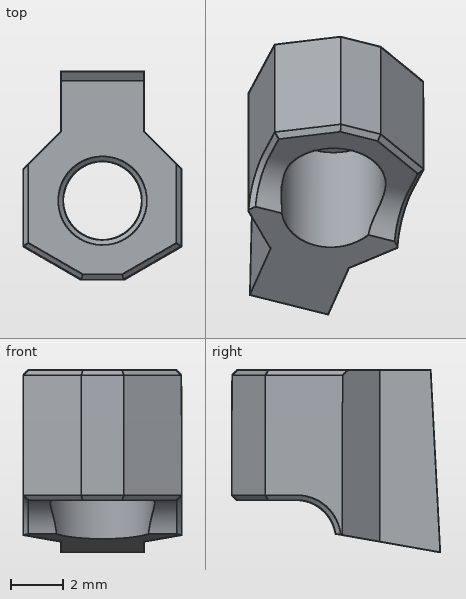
import cadquery as cq
import math

flat_distance = 3.04
shoulder_distance = 3.0
tongue_half_width = 1.6
tongue_tip_y = 4.96
height = 7.0
underside_depth = 5.0
tip_draft = 3.0
floor_slope = 10.0
hollow_radius = 1.5
hollow_center_y = -0.55
edge_chamfer = 0.2
bore_radius = 1.5
bore_depth = 1.5
counterbore_radius = 2.0
relief_depth = 2.0
relief_angle = 0.5
margin = 1.0

front_turn = 30.0
side_turn = 60.0
relieved_flats = (-120.0, -90.0, -60.0, 0.0)


def tangent(angle):
    return math.tan(math.radians(angle))


def corner_offset(turn):
    """Distance along a flat from its tangent point to the corner with the next flat."""
    return flat_distance * tangent(turn / 2)


front_corner_x = corner_offset(front_turn)
side_front_y = -corner_offset(side_turn)

shoulder_sum = shoulder_distance * math.sqrt(2)
side_back_y = shoulder_sum - flat_distance
shoulder_y = shoulder_sum - tongue_half_width


def make_plan_prism():
    """Body and tongue outline in plan, extruded down over the full height."""
    right_corners = [
        (front_corner_x, -flat_distance),
        (flat_distance, side_front_y),
        (flat_distance, side_back_y),
        (tongue_half_width, shoulder_y),
        (tongue_half_width, tongue_tip_y),
    ]
    left_corners = [(-x, y) for x, y in reversed(right_corners)]
    return cq.Workplane("XY").polyline(right_corners + left_corners).close().extrude(-height)


def floor_z(y):
    """Height of the sloped lower face at a given Y."""
    return -height + (tongue_tip_y - y) * tangent(floor_slope)


def make_side_prism():
    """Side outline: leaning tip, sloped floor, round hollow and flat underside."""
    tip_top_y = tongue_tip_y - height * tangent(tip_draft)
    hollow_center_z = -underside_depth - hollow_radius

    slope = math.radians(floor_slope)
    floor_gap = (floor_z(hollow_center_y) - hollow_center_z) * math.cos(slope)
    lip_angle = math.asin(floor_gap / hollow_radius) - slope
    mid_angle = (lip_angle + math.pi / 2) / 2

    def hollow_point(angle):
        y = hollow_center_y + hollow_radius * math.cos(angle)
        z = hollow_center_z + hollow_radius * math.sin(angle)
        return y, z

    front_y = -flat_distance
    return (
        cq.Workplane("YZ")
        .moveTo(front_y, 0)
        .lineTo(tip_top_y, 0)
        .lineTo(tongue_tip_y, -height)
        .lineTo(*hollow_point(lip_angle))
        .threePointArc(hollow_point(mid_angle), hollow_point(math.pi / 2))
        .lineTo(front_y, -underside_depth)
        .close()
        .extrude(flat_distance, both=True)
    )


def make_relief_wedge(direction):
    """Thin wedge that leans one flat inwards above the relief line."""
    lean = relief_depth * tangent(relief_angle)
    return (
        cq.Workplane("XZ")
        .moveTo(flat_distance, -relief_depth)
        .lineTo(flat_distance - lean, 0)
        .lineTo(flat_distance, 0)
        .close()
        .extrude(flat_distance, both=True)
        .rotate((0, 0, 0), (0, 0, 1), direction)
    )


def chamfer_top(body):
    """Chamfer the top edges of the front, slanted and side flats."""
    reach = flat_distance + margin
    top_edges = cq.selectors.BoxSelector(
        (-reach, -reach, -edge_chamfer),
        (reach, side_back_y, edge_chamfer),
    )
    return body.edges(top_edges).chamfer(edge_chamfer)


def chamfer_bottom(body):
    """Chamfer the outer rim of the underside and both ends of the hollow."""
    reach = flat_distance + margin
    low = -underside_depth - hollow_radius / 2
    high = -underside_depth + edge_chamfer
    front = cq.selectors.BoxSelector((-reach, -reach, low), (reach, side_front_y - margin, high))
    right = cq.selectors.BoxSelector((front_corner_x, -reach, low), (reach, side_back_y, high))
    left = cq.selectors.BoxSelector((-reach, -reach, low), (-front_corner_x, side_back_y, high))
    return body.edges(front + right + left).chamfer(edge_chamfer)


def make_bore():
    """Stepped bore with a countersunk mouth at the top face."""
    mouth_radius = bore_radius + edge_chamfer
    profile = [
        (0, 0),
        (mouth_radius, 0),
        (bore_radius, -edge_chamfer),
        (bore_radius, -bore_depth),
        (counterbore_radius, -bore_depth),
        (counterbore_radius, -height - margin),
        (0, -height - margin),
    ]
    return cq.Workplane("XZ").polyline(profile).close().revolve(360, (0, 0, 0), (0, 1, 0))


body = make_plan_prism().intersect(make_side_prism())
for flat_direction in relieved_flats:
    body = body.cut(make_relief_wedge(flat_direction))
body = chamfer_top(body)
body = chamfer_bottom(body)
result = body.cut(make_bore())